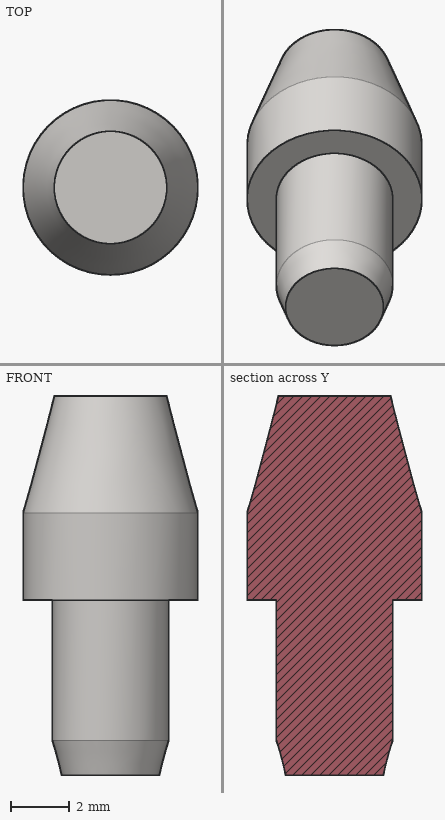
import cadquery as cq
import math

head_radius = 3.0
head_straight_height = 3.0
head_taper_height = 4.0
shank_radius = 2.0
shank_length = 6.0
tip_taper_height = 1.2
taper_angle = math.radians(15)

head_top = head_straight_height + head_taper_height
head_top_radius = head_radius - head_taper_height * math.tan(taper_angle)
tip_radius = shank_radius - tip_taper_height * math.tan(taper_angle)


def pin_body():
    """Revolve the half profile on the -Y side about the Z axis."""
    half_profile = (
        cq.Workplane("YZ")
        .moveTo(0, -shank_length)
        .lineTo(-tip_radius, -shank_length)
        .lineTo(-shank_radius, -shank_length + tip_taper_height)
        .lineTo(-shank_radius, 0)
        .lineTo(-head_radius, 0)
        .lineTo(-head_radius, head_straight_height)
        .lineTo(-head_top_radius, head_top)
        .lineTo(0, head_top)
        .close()
    )
    return half_profile.revolve(360, (0, 0, 0), (0, 1, 0))


result = pin_body()